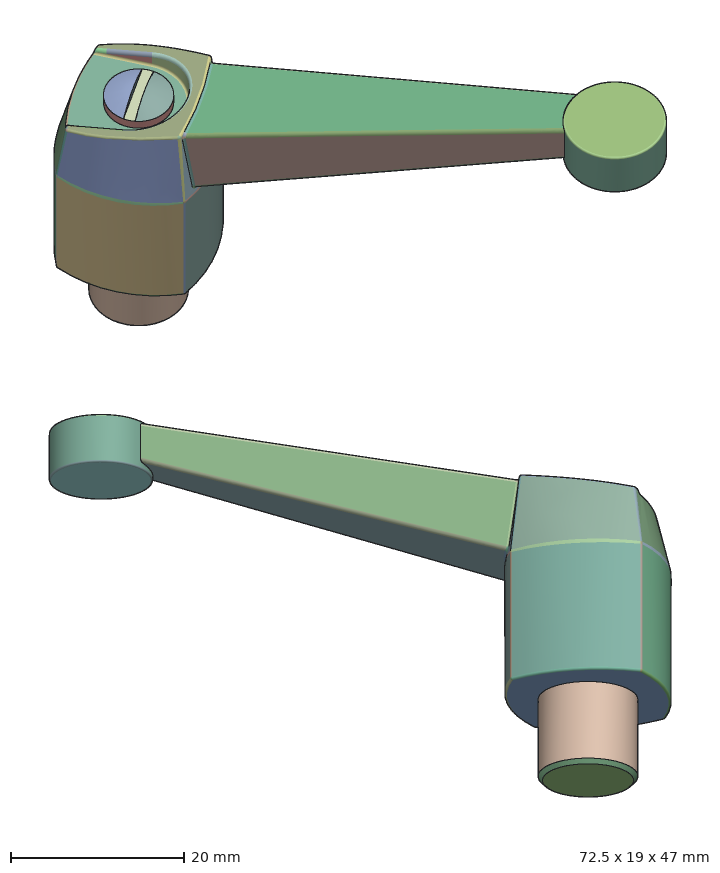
import cadquery as cq
import math

total_length = 72.5
total_height = 47.0

stem_diameter = 11.5
stem_length = 10.0
stem_chamfer = 0.5

hub_width = 19.0
hub_corner = 7.7
shoulder_z = 25.95
crown_z = 36.55
crown_width = 14.15
crown_corner = 6.6
crown_shift = 0.2
shoulder_fillet = 2.2
corner_fillet = 0.4
rim_fillet = 0.3

slope_angle = 10.5
slope_axis_z = 34.6

recess_radius = 5.9
recess_floor_z = 32.85
recess_floor_fillet = 0.3
recess_rim_fillet = 0.4
screw_diameter = 8.1
screw_base_z = recess_floor_z - 0.7
screw_rim_z = 34.0
screw_top_z = 34.95
slot_width = 1.4
slot_depth = 0.95

knob_diameter = 11.95
knob_thickness = 5.95
knob_fillet = 0.2

arm_start_x = 6.8
arm_start_width = 12.0
arm_start_top_z = 35.45
arm_start_bottom_z = 26.25
arm_end_width = 6.1
arm_end_top_z = 46.75
arm_end_bottom_z = 41.9
arm_fillet = 0.4
arm_root_fillet = 0.35

knob_x = total_length - hub_width / 2 - knob_diameter / 2
arm_end_x = knob_x - math.sqrt(knob_diameter**2 - arm_end_width**2) / 2


def bulged_square(x, z, width, corner):
    """Level closed wire of four outward arcs on the corners of a square, with rounded corners."""
    bulge = width / 2
    outline = (
        cq.Workplane("XY", origin=(x, 0, z))
        .moveTo(-corner, -corner)
        .threePointArc((0, -bulge), (corner, -corner))
        .threePointArc((bulge, 0), (corner, corner))
        .threePointArc((0, bulge), (-corner, corner))
        .threePointArc((-bulge, 0), (-corner, -corner))
        .close()
        .val()
    )
    return outline.fillet2D(corner_fillet, outline.Vertices())


def make_stem():
    stem = cq.Workplane("XY").circle(stem_diameter / 2).extrude(stem_length)
    return stem.faces("<Z").chamfer(stem_chamfer)


def make_hub():
    foot = bulged_square(0, stem_length, hub_width, hub_corner)
    shoulder = bulged_square(0, shoulder_z, hub_width, hub_corner)
    crown = bulged_square(crown_shift, crown_z, crown_width, crown_corner)
    lower = cq.Workplane(cq.Solid.makeLoft([foot, shoulder], True))
    upper = cq.Workplane(cq.Solid.makeLoft([shoulder, crown], True))
    hub = lower.union(upper)

    shoulder_edges = cq.selectors.BoxSelector(
        (-hub_width, -hub_width, shoulder_z - rim_fillet),
        (hub_width, hub_width, shoulder_z + rim_fillet),
    )
    hub = hub.edges(shoulder_edges).fillet(shoulder_fillet)
    hub = hub.faces("<Z").edges().fillet(rim_fillet)

    above_slope = (
        cq.Workplane("XY")
        .box(2 * hub_width, 2 * hub_width, hub_width, centered=(True, True, False))
        .rotate((0, 0, 0), (0, 1, 0), -slope_angle)
        .translate((0, 0, slope_axis_z))
    )
    return hub.cut(above_slope).cut(make_recess())


def round_top_edges(hub):
    """Round the recess rim, then the outer edge of the sloped face and the open floor edge."""
    slope = math.radians(slope_angle)
    sloped_face = cq.selectors.ParallelDirSelector(cq.Vector(-math.sin(slope), 0, math.cos(slope)))
    recess_rim = cq.selectors.BoxSelector(
        (-hub_width, -recess_radius - rim_fillet, recess_floor_z),
        (recess_radius, recess_radius + rim_fillet, total_height),
    )
    floor_edge = cq.selectors.BoxSelector(
        (-hub_width / 2, -recess_radius / 2, recess_floor_z - rim_fillet),
        (-screw_diameter / 2, recess_radius / 2, recess_floor_z + rim_fillet),
    )
    hub = hub.faces(sloped_face).edges(recess_rim).fillet(recess_rim_fillet)
    outer_edges = hub.faces(sloped_face).edges(cq.selectors.InverseSelector(recess_rim))
    return outer_edges.add(hub.edges(floor_edge)).fillet(rim_fillet)


def arm_section(x, width, bottom_z, top_z):
    """Upright rectangular wire across the arm at the given X."""
    half = width / 2
    return cq.Wire.makePolygon(
        [
            cq.Vector(x, -half, bottom_z),
            cq.Vector(x, half, bottom_z),
            cq.Vector(x, half, top_z),
            cq.Vector(x, -half, top_z),
        ],
        close=True,
    )


def make_arm():
    start = arm_section(arm_start_x, arm_start_width, arm_start_bottom_z, arm_start_top_z)
    end = arm_section(arm_end_x, arm_end_width, arm_end_bottom_z, arm_end_top_z)
    arm = cq.Workplane(cq.Solid.makeLoft([start, end], True))
    return arm.edges("not #X").fillet(arm_fillet)


def make_knob():
    knob = (
        cq.Workplane("XY")
        .workplane(offset=total_height - knob_thickness)
        .center(knob_x, 0)
        .circle(knob_diameter / 2)
        .extrude(knob_thickness)
    )
    return knob.edges().fillet(knob_fillet)


def make_recess():
    tool = (
        cq.Workplane("XY")
        .workplane(offset=recess_floor_z)
        .moveTo(-hub_width, -recess_radius)
        .lineTo(0, -recess_radius)
        .threePointArc((recess_radius, 0), (0, recess_radius))
        .lineTo(-hub_width, recess_radius)
        .close()
        .extrude(hub_width)
    )
    return tool.faces("<Z").edges().fillet(recess_floor_fillet)


def make_screw_head():
    radius = screw_diameter / 2
    dome_mid_z = screw_top_z - (screw_top_z - screw_rim_z) / 4
    head = (
        cq.Workplane("XZ")
        .moveTo(0, screw_base_z)
        .lineTo(radius, screw_base_z)
        .lineTo(radius, screw_rim_z)
        .threePointArc((radius / 2, dome_mid_z), (0, screw_top_z))
        .lineTo(0, screw_base_z)
        .close()
        .revolve(360, (0, 0, 0), (0, 1, 0))
    )
    slot = (
        cq.Workplane("XY")
        .workplane(offset=screw_top_z - slot_depth)
        .rect(slot_width, screw_diameter)
        .extrude(slot_depth)
    )
    return head.cut(slot)


def join_arm(hub, arm):
    """Union of hub and arm with the seam around the arm root rounded."""
    seam = cq.selectors.BoxSelector(
        (arm_start_x, -arm_start_width / 2, arm_start_bottom_z + arm_fillet),
        (hub_width / 2, arm_start_width / 2, arm_start_top_z + arm_fillet / 2),
    )
    return hub.union(arm).edges(seam).fillet(arm_root_fillet)


hub = round_top_edges(make_hub())
handle = join_arm(hub, make_arm())
result = handle.union(make_stem()).union(make_knob()).union(make_screw_head())